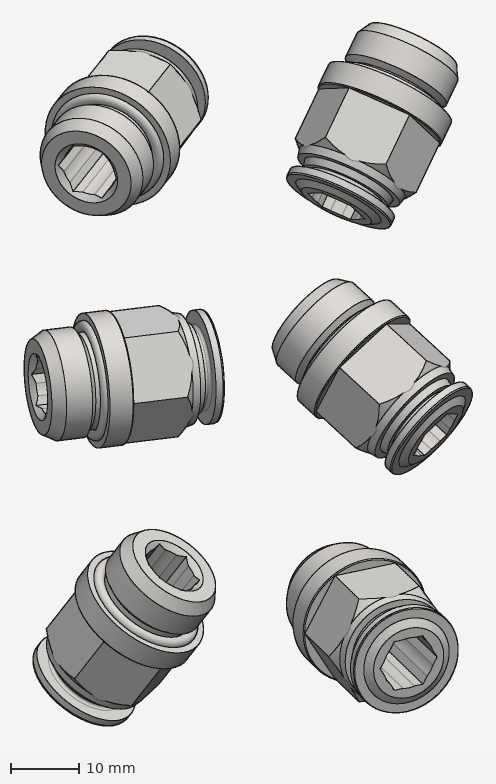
import cadquery as cq
import math

THREAD_R = 8.22
TIP_R = 7.15
TIP_CHAMFER_END = 1.93
THREAD_END = 5.93
RELIEF_R = 7.22
RELIEF_START = 6.7

FLANGE_R = 10.002
FLANGE_BOTTOM = 8.05
FLANGE_TOP = 11.75
FLANGE_CHAMFER = 0.15
SEAL_SECTION_R = 0.85
SEAL_CENTRE_R = RELIEF_R + SEAL_SECTION_R

HEX_ACROSS_FLATS = 16.97
HEX_CORNER_R = HEX_ACROSS_FLATS / math.sqrt(3)
HEX_CORNER_TOP = 20.03
LOWER_STEP_BOTTOM = 21.25
LOWER_STEP_TOP = 22.5
UPPER_STEP_TOP = 23.65
LOWER_STEP_BOTTOM_R = 8.57
LOWER_STEP_TOP_R = 8.27
UPPER_STEP_BOTTOM_R = 7.17
UPPER_STEP_TOP_R = 6.82

LENGTH = 26.85
NECK_R = 6.01
NECK_FILLET = 0.45
COLLAR_R = 8.48
COLLAR_BOTTOM = 24.78
COLLAR_TOP = 26.1
COLLAR_CHAMFER_HEIGHT = 0.25
COLLAR_CHAMFER_WIDTH = 0.08
CROWN_BOTTOM_R = 6.93
CROWN_TOP_R = 5.7

KEY_ACROSS_FLATS = 8.0
KEY_BORE_R = 4.1
KEY_MOUTH_R = 5.0


def revolve(points):
    """Revolve a closed (radius, y) outline around the Y axis."""
    return cq.Workplane("XY").polyline(points).close().revolve(360, (0, 0, 0), (0, 1, 0))


def hex_prism(across_flats, start, end):
    """Hexagonal prism along Y with two corners on the X axis."""
    corner_diameter = 2 * across_flats / math.sqrt(3)
    base = cq.Workplane("XZ", origin=(0, start, 0))
    return base.polygon(6, corner_diameter).extrude(start - end)


def threaded_end():
    return revolve([
        (0, 0),
        (TIP_R, 0),
        (THREAD_R, TIP_CHAMFER_END),
        (THREAD_R, THREAD_END),
        (RELIEF_R, RELIEF_START),
        (RELIEF_R, FLANGE_BOTTOM),
        (0, FLANGE_BOTTOM),
    ])


def flange():
    return revolve([
        (0, FLANGE_BOTTOM),
        (FLANGE_R, FLANGE_BOTTOM),
        (FLANGE_R, FLANGE_TOP - FLANGE_CHAMFER),
        (FLANGE_R - FLANGE_CHAMFER, FLANGE_TOP),
        (0, FLANGE_TOP),
    ])


def sealing_ring():
    section = cq.Workplane("XY").center(SEAL_CENTRE_R, FLANGE_BOTTOM).circle(SEAL_SECTION_R)
    return section.revolve(360, (-SEAL_CENTRE_R, 0, 0), (-SEAL_CENTRE_R, 1, 0))


def hex_body():
    """Turned blank trimmed to a hexagon, leaving arched edges on the flats."""
    blank = revolve([
        (0, FLANGE_TOP),
        (HEX_CORNER_R, FLANGE_TOP),
        (HEX_CORNER_R, HEX_CORNER_TOP),
        (LOWER_STEP_BOTTOM_R, LOWER_STEP_BOTTOM),
        (LOWER_STEP_TOP_R, LOWER_STEP_TOP),
        (UPPER_STEP_BOTTOM_R, LOWER_STEP_TOP),
        (UPPER_STEP_TOP_R, UPPER_STEP_TOP),
        (0, UPPER_STEP_TOP),
    ])
    return blank.intersect(hex_prism(HEX_ACROSS_FLATS, FLANGE_TOP, UPPER_STEP_TOP))


def release_collar():
    """Neck and push collar, joined by a concave fillet."""
    fillet_start = (NECK_R, COLLAR_BOTTOM - NECK_FILLET)
    fillet_end = (NECK_R + NECK_FILLET, COLLAR_BOTTOM)
    fillet_sag = NECK_FILLET * (1 - math.sqrt(0.5))
    fillet_middle = (NECK_R + fillet_sag, COLLAR_BOTTOM - fillet_sag)
    return (
        cq.Workplane("XY")
        .moveTo(0, UPPER_STEP_TOP)
        .lineTo(NECK_R, UPPER_STEP_TOP)
        .lineTo(*fillet_start)
        .threePointArc(fillet_middle, fillet_end)
        .lineTo(COLLAR_R, COLLAR_BOTTOM)
        .lineTo(COLLAR_R, COLLAR_TOP - COLLAR_CHAMFER_HEIGHT)
        .lineTo(COLLAR_R - COLLAR_CHAMFER_WIDTH, COLLAR_TOP)
        .lineTo(CROWN_BOTTOM_R, COLLAR_TOP)
        .lineTo(CROWN_TOP_R, LENGTH)
        .lineTo(0, LENGTH)
        .close()
        .revolve(360, (0, 0, 0), (0, 1, 0))
    )


def key_passage():
    """Through hexagon relieved by a round bore, with a 45 degree mouth."""
    hexagon = hex_prism(KEY_ACROSS_FLATS, 0, LENGTH)
    bore = revolve([(0, 0), (KEY_BORE_R, 0), (KEY_BORE_R, LENGTH), (0, LENGTH)])
    mouth = revolve([(0, 0), (KEY_MOUTH_R, 0), (0, KEY_MOUTH_R)])
    return hexagon.union(bore).union(mouth)


body = threaded_end().union(flange()).union(sealing_ring())
body = body.union(hex_body()).union(release_collar())
result = body.cut(key_passage())